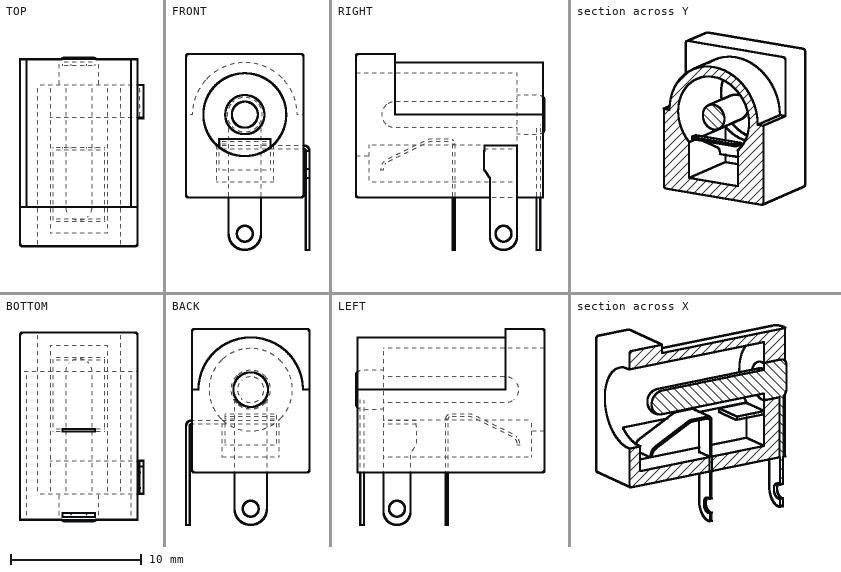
import cadquery as cq
import math


HOUSING_WIDTH = 9.0
HOUSING_DEPTH = 14.32
HOUSING_HEIGHT = 11.0
FRONT_BLOCK_DEPTH = 3.0
EDGE_RADIUS = 0.21
AXIS_HEIGHT = 6.35
BARREL_DIAMETER = 8.0
BORE_DIAMETER = 6.35
BORE_DEPTH = 12.35

POCKET_WIDTH = 4.35
POCKET_FRONT = 1.0
POCKET_FLOOR = 1.2

TAB_DROP = 4.0
TAB_WIDTH = 2.5
TAB_HOLE_DIAMETER = 1.2
TAB_HOLE_HEIGHT = 1.25

PIN_DIAMETER = 2.0
PIN_TIP_Y = 2.0
RIVET_DIAMETER = 3.0
RIVET_OVERHANG = 0.12
RIVET_EDGE_RADIUS = 0.5
PIN_TAB_THICKNESS = 0.3
PIN_TAB_INSET = 0.21

SPRING_THICKNESS = 0.2
SPRING_WIDTH = 3.93
SPRING_SLOPE = math.radians(26)
SPRING_TOP = 4.48
SPRING_NOSE_Y = 1.9
SPRING_NOSE_RADIUS = 0.9
SPRING_NOSE_HEIGHT = 2.13
SPRING_CREST_RADIUS = 0.75
SPRING_TAB_BEND_RADIUS = 0.39
SPRING_TAB_BACK = 7.58

TERMINAL_THICKNESS = 0.3
TERMINAL_OUTER_X = 4.95
TERMINAL_TOP = 4.0
TERMINAL_BACK = BORE_DEPTH
TERMINAL_FRONT = TERMINAL_BACK - TAB_WIDTH
TERMINAL_TAB_FRONT = 9.8
TERMINAL_TAB_WIDTH = 2.1
TERMINAL_BEND_RADIUS = 0.45
TAPER_TOP = 2.18
TAPER_BOTTOM = 1.5


def cylinder_along_y(diameter, y_start, y_end):
    """Cylinder on the plug axis between two y positions."""
    return cq.Workplane(
        cq.Solid.makeCylinder(
            diameter / 2, y_end - y_start, cq.Vector(0, y_start, AXIS_HEIGHT), cq.Vector(0, 1, 0)
        )
    )


def box_between(x_range, y_range, z_range):
    """Box given by its limits along each axis."""
    sizes = [high - low for low, high in (x_range, y_range, z_range)]
    return cq.Workplane().box(*sizes, centered=False).translate((x_range[0], y_range[0], z_range[0]))


def crosswise_tab(y_front, thickness, top):
    """Tab facing along y, with a round lower end and a solder hole."""
    radius = TAB_WIDTH / 2
    outline = (
        cq.Workplane("XZ", origin=(0, y_front, 0))
        .moveTo(-radius, top)
        .lineTo(-radius, radius - TAB_DROP)
        .threePointArc((0, -TAB_DROP), (radius, radius - TAB_DROP))
        .lineTo(radius, top)
        .close()
        .extrude(-thickness)
    )
    hole = (
        cq.Workplane("XZ", origin=(0, y_front, 0))
        .center(0, TAB_HOLE_HEIGHT - TAB_DROP)
        .circle(TAB_HOLE_DIAMETER / 2)
        .extrude(-thickness)
    )
    return outline.cut(hole)


def make_pin():
    """Round-tipped pin with a rivet shank at its rear and a solder tab hanging from the shank."""
    tip_radius = PIN_DIAMETER / 2
    tip_center_y = PIN_TIP_Y + tip_radius
    tip = cq.Workplane("XZ", origin=(0, tip_center_y, AXIS_HEIGHT)).sphere(tip_radius)
    rod = cylinder_along_y(PIN_DIAMETER, tip_center_y, BORE_DEPTH)
    rivet = cylinder_along_y(RIVET_DIAMETER, BORE_DEPTH, HOUSING_DEPTH + RIVET_OVERHANG)
    rivet = rivet.faces(">Y").edges().fillet(RIVET_EDGE_RADIUS)
    tab_front = HOUSING_DEPTH - PIN_TAB_INSET - PIN_TAB_THICKNESS
    tab = crosswise_tab(tab_front, PIN_TAB_THICKNESS, AXIS_HEIGHT)
    return rivet.union(rod).union(tip).union(tab)


def make_spring():
    """Bent strip: rounded nose, slope, level crest and a tab going down through the floor."""
    sin_slope = math.sin(SPRING_SLOPE)
    cos_slope = math.cos(SPRING_SLOPE)
    nose_center = (SPRING_NOSE_Y + SPRING_NOSE_RADIUS, SPRING_NOSE_HEIGHT)
    crest_center_z = SPRING_TOP - SPRING_CREST_RADIUS
    rise_across_slope = (crest_center_z - nose_center[1]) * cos_slope
    run = (rise_across_slope + SPRING_CREST_RADIUS - SPRING_NOSE_RADIUS) / sin_slope
    crest_center = (nose_center[0] + run, crest_center_z)
    bend_center = (SPRING_TAB_BACK - SPRING_TAB_BEND_RADIUS, SPRING_TOP - SPRING_TAB_BEND_RADIUS)

    def on_arc(center, radius, lean):
        """Point on an arc whose normal leans forward from vertical by an angle."""
        return (center[0] - radius * math.sin(lean), center[1] + radius * math.cos(lean))

    def trace(path, inset, forward):
        """Draw one skin of the strip, from nose to tab or back again."""
        arcs = [
            (nose_center, SPRING_NOSE_RADIUS - inset, math.pi / 2, SPRING_SLOPE),
            (crest_center, SPRING_CREST_RADIUS - inset, SPRING_SLOPE, 0),
            (bend_center, SPRING_TAB_BEND_RADIUS - inset, 0, -math.pi / 2),
        ]
        if not forward:
            arcs = [(center, radius, end, start) for center, radius, start, end in reversed(arcs)]
        for center, radius, start, end in arcs:
            path = path.lineTo(*on_arc(center, radius, start))
            path = path.threePointArc(
                on_arc(center, radius, (start + end) / 2), on_arc(center, radius, end)
            )
        return path

    path = cq.Workplane("YZ").moveTo(SPRING_NOSE_Y + SPRING_THICKNESS, SPRING_NOSE_HEIGHT)
    path = trace(path, 0, True)
    path = trace(path, SPRING_THICKNESS, False)
    strip = path.close().extrude(SPRING_WIDTH / 2, both=True)
    tab = crosswise_tab(SPRING_TAB_BACK - SPRING_THICKNESS, SPRING_THICKNESS, bend_center[1])
    return strip.union(tab)


def make_side_terminal():
    """Plate entering through the +X wall, bent down into a tapered tab with a solder hole."""
    inner_x = TERMINAL_OUTER_X - TERMINAL_THICKNESS
    plate_under = TERMINAL_TOP - TERMINAL_THICKNESS
    bend_end = TERMINAL_TOP - TERMINAL_BEND_RADIUS
    middle_y = (TERMINAL_TAB_FRONT + TERMINAL_BACK) / 2
    bent_strip = (
        cq.Workplane("XZ", origin=(0, TERMINAL_TAB_FRONT, 0))
        .moveTo(-POCKET_WIDTH / 2, TERMINAL_TOP)
        .lineTo(TERMINAL_OUTER_X, TERMINAL_TOP)
        .lineTo(TERMINAL_OUTER_X, -TAB_DROP)
        .lineTo(inner_x, -TAB_DROP)
        .lineTo(inner_x, plate_under)
        .lineTo(-POCKET_WIDTH / 2, plate_under)
        .close()
        .extrude(TERMINAL_TAB_FRONT - TERMINAL_BACK)
    )
    nearest_to = cq.selectors.NearestToPointSelector
    outer_corner = nearest_to((TERMINAL_OUTER_X, middle_y, TERMINAL_TOP))
    inner_corner = nearest_to((inner_x, middle_y, plate_under))
    bent_strip = bent_strip.edges(outer_corner).fillet(TERMINAL_BEND_RADIUS)
    bent_strip = bent_strip.edges(inner_corner).fillet(TERMINAL_BEND_RADIUS - TERMINAL_THICKNESS)

    tab_radius = TERMINAL_TAB_WIDTH / 2
    tab_front = TERMINAL_BACK - TERMINAL_TAB_WIDTH
    tab_center_y = TERMINAL_BACK - tab_radius
    outline = (
        cq.Workplane("YZ", origin=(-POCKET_WIDTH / 2, 0, 0))
        .moveTo(TERMINAL_BACK, TERMINAL_TOP)
        .lineTo(TERMINAL_FRONT, TERMINAL_TOP)
        .lineTo(TERMINAL_FRONT, bend_end)
        .lineTo(TERMINAL_TAB_FRONT, bend_end)
        .lineTo(TERMINAL_TAB_FRONT, TAPER_TOP)
        .lineTo(tab_front, TAPER_BOTTOM)
        .lineTo(tab_front, tab_radius - TAB_DROP)
        .threePointArc((tab_center_y, -TAB_DROP), (TERMINAL_BACK, tab_radius - TAB_DROP))
        .close()
        .extrude(TERMINAL_OUTER_X + POCKET_WIDTH / 2)
    )
    hole = (
        cq.Workplane("YZ", origin=(inner_x, 0, 0))
        .center(tab_center_y, TAB_HOLE_HEIGHT - TAB_DROP)
        .circle(TAB_HOLE_DIAMETER / 2)
        .extrude(TERMINAL_THICKNESS)
    )
    return bent_strip.intersect(outline).cut(hole)


def make_housing(contacts):
    """Front block, rear body and barrel, hollowed for the plug, the spring and the contacts."""
    x_range = (-HOUSING_WIDTH / 2, HOUSING_WIDTH / 2)
    housing = box_between(x_range, (0, HOUSING_DEPTH), (0, HOUSING_HEIGHT))
    housing = housing.edges("|Y").fillet(EDGE_RADIUS)
    housing = housing.faces("<Y").edges().fillet(EDGE_RADIUS)

    rear_range = (FRONT_BLOCK_DEPTH, HOUSING_DEPTH)
    housing = housing.cut(box_between(x_range, rear_range, (AXIS_HEIGHT, HOUSING_HEIGHT)))
    housing = housing.union(cylinder_along_y(BARREL_DIAMETER, *rear_range))

    housing = housing.cut(cylinder_along_y(BORE_DIAMETER, 0, BORE_DEPTH))
    pocket_x = (-POCKET_WIDTH / 2, POCKET_WIDTH / 2)
    pocket = box_between(pocket_x, (POCKET_FRONT, BORE_DEPTH), (POCKET_FLOOR, AXIS_HEIGHT))
    housing = housing.cut(pocket)

    for contact in contacts:
        housing = housing.cut(contact)
    return housing


pin = make_pin()
spring = make_spring()
side_terminal = make_side_terminal()
housing = make_housing([pin, spring, side_terminal])

bodies = [housing, pin, spring, side_terminal]
result = cq.Compound.makeCompound([body.solids().val() for body in bodies])